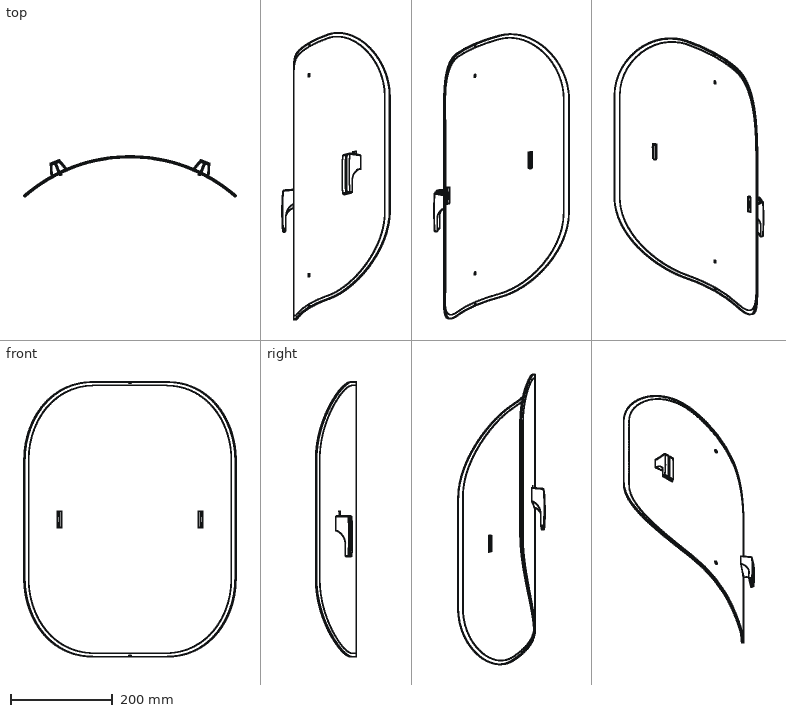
import cadquery as cq
import math

HEIGHT = 540.0
WIDTH = 417.0
OUTER_RADIUS = 317.0
LAYER_THICKNESS = 1.0
CORNER_RADIUS = 154.0
CORNER_STEPS = 8

OUTER_SKIN_INSIDE = OUTER_RADIUS - LAYER_THICKNESS
INNER_SKIN_OUTSIDE = OUTER_SKIN_INSIDE - LAYER_THICKNESS
INNER_RADIUS = INNER_SKIN_OUTSIDE - LAYER_THICKNESS

RIM_SIDE_WIDTH = 11.0
RIM_END_WIDTH = 7.0
RIM_CORNER_RADIUS = CORNER_RADIUS - (RIM_SIDE_WIDTH + RIM_END_WIDTH) / 2
HOLE_DIAMETER = 6.0
HOLE_HEIGHT = 204.0

CLIP_ANGLE = 26.3
SLOT_WIDTH = 7.5
SLOT_HEIGHT = 32.5
CLIP_PROTRUSION = 3.0
TONGUE_HEIGHT = 14.0

BRACKET_ANGLE = 22.0
BRACKET_OFFSET = 1.0
BRACKET_TOP = TONGUE_HEIGHT / 2
BRACKET_HEIGHT = 81.0
BRACKET_BOTTOM = BRACKET_TOP - BRACKET_HEIGHT
BRACKET_DEPTH = 21.0
BRACKET_BULGE = 1.5
BASE_WIDTH = 33.5
TIP_WIDTH = 19.5
FOOT_HEIGHT = 29.5
LIP_THICKNESS = 5.5
LIP_HEIGHT = 28.0
HOLLOW_DEPTH = 12.0
HOLLOW_DROP = 40.5
EDGE_CHAMFER = 2.0
GROOVE_WIDTH = 2.5
GROOVE_DEPTH = 1.0
TRIM_DEPTH = 11.0

HALF_ARC = OUTER_RADIUS * math.asin(WIDTH / 2 / OUTER_RADIUS)


def outline(half_arc, half_height, radius, distance):
    """Rounded rectangle of the flat sheet, projected from the axis onto the plane Y = distance."""

    def point(arc_length, height):
        return (distance * math.tan(arc_length / OUTER_RADIUS), height)

    def corner(side, end, from_side):
        points = []
        for step in range(1, CORNER_STEPS + 1):
            share = step / CORNER_STEPS if from_side else 1 - step / CORNER_STEPS
            turn = math.pi / 2 * share
            along = half_arc - radius + radius * math.cos(turn)
            up = half_height - radius + radius * math.sin(turn)
            points.append(point(side * along, end * up))
        return points

    straight_arc = half_arc - radius
    straight_height = half_height - radius
    return (
        cq.Workplane("XZ", origin=(0, distance, 0))
        .moveTo(*point(half_arc, -straight_height))
        .lineTo(*point(half_arc, straight_height))
        .spline(corner(1, 1, True), includeCurrent=True)
        .lineTo(*point(-straight_arc, half_height))
        .spline(corner(-1, 1, False), includeCurrent=True)
        .lineTo(*point(-half_arc, -straight_height))
        .spline(corner(-1, -1, True), includeCurrent=True)
        .lineTo(*point(straight_arc, -half_height))
        .spline(corner(1, -1, False), includeCurrent=True)
        .close()
        .val()
    )


def radial_wedge(half_arc, half_height, radius):
    """Solid whose side walls all point at the axis and cut the sheets to their outline."""
    near = outline(half_arc, half_height, radius, INNER_RADIUS / 2)
    far = outline(half_arc, half_height, radius, OUTER_RADIUS)
    return cq.Workplane(cq.Solid.makeLoft([near, far], True))


def cylinder(radius):
    return cq.Workplane("XY").circle(radius).extrude(HEIGHT, both=True)


def curved_sheet(outer_radius, wedge):
    return cylinder(outer_radius).cut(cylinder(outer_radius - LAYER_THICKNESS)).intersect(wedge)


def radial_holes(distance):
    """Two round cutters on the middle plane, `distance` above and below the middle."""
    return (
        cq.Workplane("XZ")
        .pushPoints([(0, -distance), (0, distance)])
        .circle(HOLE_DIAMETER / 2)
        .extrude(-OUTER_RADIUS)
    )


def at_clip(body, side, angle):
    """Turns a body built at the origin, facing +Y, and moves it to the clip on side -1 or +1."""
    if side > 0:
        body = body.mirror("YZ")
    turn = math.radians(CLIP_ANGLE)
    place = (side * OUTER_RADIUS * math.sin(turn), OUTER_RADIUS * math.cos(turn), 0)
    return body.rotate((0, 0, 0), (0, 0, 1), -side * angle).translate(place)


def slot_block(side, first, last, height):
    """Block through all layers, from `first` to `last` across the slot."""
    depth = 2 * (OUTER_RADIUS - INNER_RADIUS + CLIP_PROTRUSION)
    block = cq.Workplane("XY").box(last - first, depth, height).translate(((first + last) / 2, 0, 0))
    return at_clip(block, side, CLIP_ANGLE)


def slot(side):
    return slot_block(side, -SLOT_WIDTH / 2, SLOT_WIDTH / 2, SLOT_HEIGHT)


def tongue(side):
    """Part of the bracket that fills one half of the slot, flush with the inner skin."""
    return slot_block(side, -SLOT_WIDTH / 2, 0, TONGUE_HEIGHT).cut(cylinder(INNER_RADIUS))


def make_clip(side):
    """Bar in the other half of the slot, from the outer skin to beyond the inner skin."""
    bar = slot_block(side, 0, SLOT_WIDTH / 2, SLOT_HEIGHT)
    return bar.intersect(cylinder(OUTER_SKIN_INSIDE)).cut(cylinder(INNER_RADIUS - CLIP_PROTRUSION))


def bracket_profile(end_depth, width):
    """Side outline of the bracket, with its end face at `end_depth`, as a slab of the given width."""
    foot_bottom = BRACKET_TOP - FOOT_HEIGHT
    lip_inside = BRACKET_DEPTH - LIP_THICKNESS
    middle = (BRACKET_TOP + BRACKET_BOTTOM) / 2
    return (
        cq.Workplane("YZ")
        .moveTo(-TRIM_DEPTH, BRACKET_TOP)
        .lineTo(end_depth, BRACKET_TOP)
        .threePointArc((end_depth + BRACKET_BULGE, middle), (end_depth, BRACKET_BOTTOM))
        .lineTo(lip_inside, BRACKET_BOTTOM)
        .lineTo(lip_inside, BRACKET_BOTTOM + LIP_HEIGHT)
        .threePointArc((HOLLOW_DEPTH, BRACKET_TOP - HOLLOW_DROP), (0, foot_bottom))
        .lineTo(-TRIM_DEPTH, foot_bottom)
        .close()
        .extrude(width / 2, both=True)
    )


def bracket_plan():
    """Top outline of the bracket, tapering away from the skin."""
    slope = (BASE_WIDTH - TIP_WIDTH) / 2 / BRACKET_DEPTH
    near_half = BASE_WIDTH / 2 + slope * TRIM_DEPTH
    far = BRACKET_DEPTH + 2 * BRACKET_BULGE
    far_half = BASE_WIDTH / 2 - slope * far
    return (
        cq.Workplane("XY", origin=(0, 0, BRACKET_BOTTOM))
        .polyline([(-near_half, -TRIM_DEPTH), (near_half, -TRIM_DEPTH), (far_half, far), (-far_half, far)])
        .close()
        .extrude(BRACKET_HEIGHT)
    )


def bracket_groove():
    """Shallow groove down the middle of the bracket's top and end faces."""
    whole = bracket_profile(BRACKET_DEPTH, GROOVE_WIDTH)
    core = bracket_profile(BRACKET_DEPTH - GROOVE_DEPTH, GROOVE_WIDTH)
    top = cq.Workplane("XY").box(GROOVE_WIDTH, 3 * BRACKET_DEPTH, 2 * GROOVE_DEPTH)
    return whole.cut(core).union(top.translate((0, 0, BRACKET_TOP)))


def make_bracket(side):
    body = bracket_profile(BRACKET_DEPTH, 2 * BASE_WIDTH).intersect(bracket_plan())
    body = body.faces("<Z or >Z").edges().chamfer(EDGE_CHAMFER)
    body = body.cut(bracket_groove()).translate((BRACKET_OFFSET, 0, 0))
    return at_clip(body, side, BRACKET_ANGLE).cut(cylinder(OUTER_RADIUS)).union(tongue(side))


sheet_wedge = radial_wedge(HALF_ARC, HEIGHT / 2, CORNER_RADIUS)
rim_opening = radial_wedge(HALF_ARC - RIM_SIDE_WIDTH, HEIGHT / 2 - RIM_END_WIDTH, RIM_CORNER_RADIUS)
outer_skin = curved_sheet(OUTER_RADIUS, sheet_wedge).cut(radial_holes(HOLE_HEIGHT))
inner_skin = curved_sheet(INNER_SKIN_OUTSIDE, sheet_wedge)
rim = curved_sheet(OUTER_SKIN_INSIDE, sheet_wedge).cut(rim_opening).cut(radial_holes(HEIGHT / 2))

brackets = []
clips = []
for side in (-1, 1):
    outer_skin = outer_skin.cut(tongue(side))
    inner_skin = inner_skin.cut(slot(side))
    brackets.append(make_bracket(side).val())
    clips.append(make_clip(side).val())

result = cq.Compound.makeCompound([outer_skin.val(), rim.val(), inner_skin.val(), *brackets, *clips])